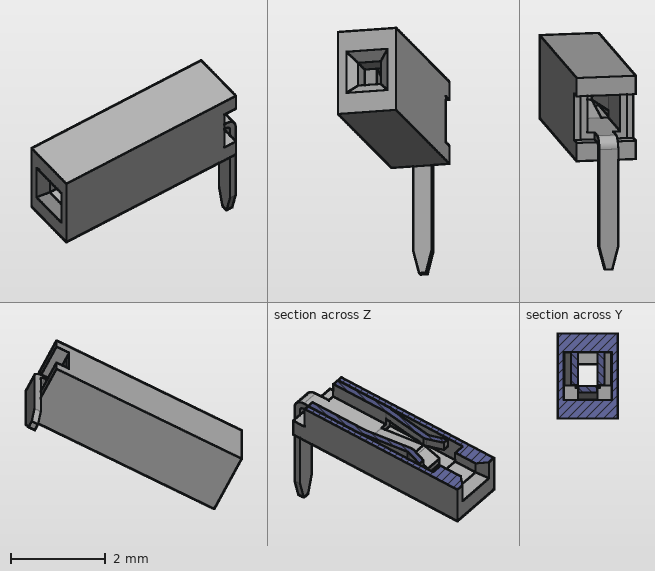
import cadquery as cq
import math


housing_width = 1.27
housing_length = 4.4
housing_height = 1.8
cavity_size = 1.005
notch_depth = 0.3

mouth_size = 0.902
passage_size = 0.5
funnel_depth = (mouth_size - passage_size) / 2
passage_end = 0.75

total_length = 4.7
total_height = 4.1
sheet = 0.15
bend_radius = 0.25
strip_width = 0.405
tip_width = 0.15
taper_length = 0.49

channel_length = 1.41
tongue_front = 1.13
contact_gap = 0.197
crest_rise = 0.015
crest_angle = 12.0
lead_rise = 0.13
lead_angle = 20.0

half_cavity = cavity_size / 2
cavity_end = housing_length - notch_depth
channel_start = cavity_end - channel_length
pin_bottom = housing_height / 2 - total_height


def box(x_min, x_max, y_min, y_max, z_min, z_max):
    """Rectangular block between the given limits."""
    return cq.Workplane("XY").box(
        x_max - x_min, y_max - y_min, z_max - z_min, centered=False
    ).translate((x_min, y_min, z_min))


def square_bore(size, y_min, y_max):
    """Square bore on the axis of the plug opening."""
    half = size / 2
    return box(-half, half, y_min, y_max, -half, half)


def make_housing():
    half_width = housing_width / 2
    half_height = housing_height / 2
    body = box(-half_width, half_width, 0, housing_length, -half_height, half_height)

    funnel = (
        cq.Workplane("XZ")
        .rect(mouth_size, mouth_size)
        .workplane(offset=-funnel_depth)
        .rect(passage_size, passage_size)
        .loft(ruled=True)
    )
    passage = square_bore(passage_size, funnel_depth, passage_end)
    cavity = square_bore(cavity_size, passage_end, cavity_end)

    notch = box(-half_width, half_width, cavity_end, housing_length, -half_cavity, half_cavity)
    return body.cut(funnel).cut(passage).cut(cavity).cut(notch)


def make_tongue(start, end):
    """Bottom spring tongue that spans X from start to end, rooted in the channel floor."""
    knee = contact_gap + crest_rise
    tip = knee + lead_rise
    knee_y = tongue_front + lead_rise / math.tan(math.radians(lead_angle))
    crest_y = knee_y + crest_rise / math.tan(math.radians(crest_angle))
    return (
        cq.Workplane("YZ", origin=(start, 0, 0))
        .moveTo(tongue_front, -tip)
        .lineTo(knee_y, -knee)
        .lineTo(crest_y, -contact_gap)
        .lineTo(channel_start, sheet - half_cavity)
        .lineTo(channel_start, -half_cavity)
        .lineTo(crest_y, -contact_gap - sheet)
        .lineTo(knee_y, -knee - sheet)
        .lineTo(tongue_front, -tip - sheet)
        .close()
        .extrude(end - start)
    )


def make_tail():
    """Strip that leaves the channel floor, bends down and ends in a tapered pin."""
    inner_radius = bend_radius - sheet
    bend_y = total_length - bend_radius
    strip_bottom = -half_cavity
    strip_top = strip_bottom + sheet
    bend_z = strip_top - bend_radius
    arc_share = math.sqrt(0.5)
    strip = (
        cq.Workplane("YZ")
        .moveTo(channel_start, strip_bottom)
        .lineTo(channel_start, strip_top)
        .lineTo(bend_y, strip_top)
        .threePointArc(
            (bend_y + bend_radius * arc_share, bend_z + bend_radius * arc_share),
            (total_length, bend_z),
        )
        .lineTo(total_length, pin_bottom)
        .lineTo(total_length - sheet, pin_bottom)
        .lineTo(total_length - sheet, bend_z)
        .threePointArc(
            (bend_y + inner_radius * arc_share, bend_z + inner_radius * arc_share),
            (bend_y, strip_bottom),
        )
        .close()
        .extrude(strip_width / 2, both=True)
    )

    outline = (
        cq.Workplane("XZ")
        .moveTo(-strip_width / 2, strip_top)
        .lineTo(strip_width / 2, strip_top)
        .lineTo(strip_width / 2, pin_bottom + taper_length)
        .lineTo(tip_width / 2, pin_bottom)
        .lineTo(-tip_width / 2, pin_bottom)
        .lineTo(-strip_width / 2, pin_bottom + taper_length)
        .close()
        .extrude(-total_length)
    )
    return strip.intersect(outline)


def make_contact():
    half_inner = half_cavity - sheet
    channel = box(
        -half_cavity, half_cavity, channel_start, cavity_end, -half_cavity, half_cavity
    ).cut(box(-half_inner, half_inner, channel_start, cavity_end, -half_inner, half_cavity))

    bottom_tongue = make_tongue(-strip_width / 2, strip_width / 2)

    axis_end = (0, 1, 0)
    right_tongue = make_tongue(-contact_gap, half_cavity).rotate((0, 0, 0), axis_end, -90)
    left_tongue = right_tongue.mirror("YZ")
    body = channel.union(bottom_tongue).union(right_tongue).union(left_tongue)
    return body.union(make_tail())


housing = make_housing()
contact = make_contact()
result = cq.Compound.makeCompound([housing.solids().val(), contact.solids().val()])